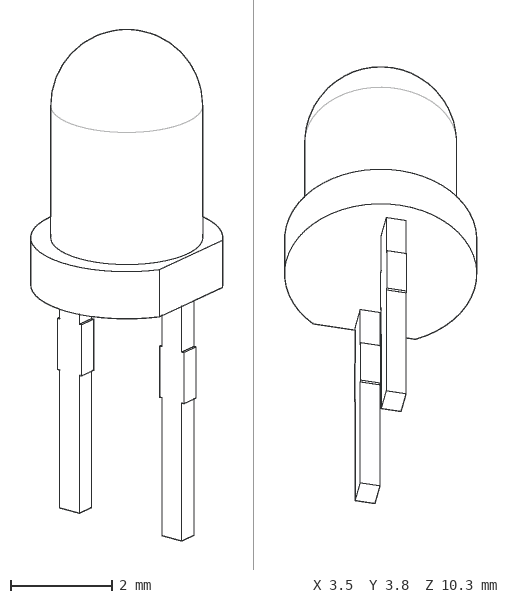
import cadquery as cq

total_height = 10.3
lens_radius = 1.5
flange_radius = 1.9
flange_thickness = 1.0
flange_bottom = 5.01
flat_distance = 1.6

lead_pitch = 2.54
lead_width = 0.49
lead_depth = 0.4
stop_width = 0.6
stop_bottom = 2.91
stop_top = 4.0

flange_top = flange_bottom + flange_thickness
dome_base = total_height - lens_radius


def make_lens():
    """Round-topped lens, revolved about the LED axis."""
    profile = (
        cq.Workplane("XZ")
        .moveTo(0, flange_top)
        .lineTo(lens_radius, flange_top)
        .lineTo(lens_radius, dome_base)
        .radiusArc((0, total_height), -lens_radius)
        .close()
    )
    return profile.revolve(360, (0, 0, 0), (0, 1, 0))


def make_flange():
    """Round base flange with a flat on its +X side."""
    disc = cq.Workplane("XY").workplane(offset=flange_bottom).circle(flange_radius).extrude(flange_thickness)
    flat_side_keeper = (
        cq.Workplane("XY")
        .workplane(offset=flange_bottom)
        .center((flat_distance - flange_radius) / 2, 0)
        .rect(flat_distance + flange_radius, 2 * flange_radius)
        .extrude(flange_thickness)
    )
    return disc.intersect(flat_side_keeper)


def make_housing():
    """Lens and flange moulded as one body."""
    return make_flange().union(make_lens())


def make_lead(center_x):
    """Flat lead that ends at the flange underside and has a wider stop partway up."""
    stem = cq.Workplane("XY").center(center_x, 0).rect(lead_width, lead_depth).extrude(flange_bottom)
    stop = (
        cq.Workplane("XY")
        .workplane(offset=stop_bottom)
        .center(center_x, 0)
        .rect(stop_width, lead_depth)
        .extrude(stop_top - stop_bottom)
    )
    return stem.union(stop)


housing = make_housing()
leads = [make_lead(side * lead_pitch / 2) for side in (-1, 1)]

result = cq.Compound.makeCompound([housing.val(), *[lead.val() for lead in leads]])